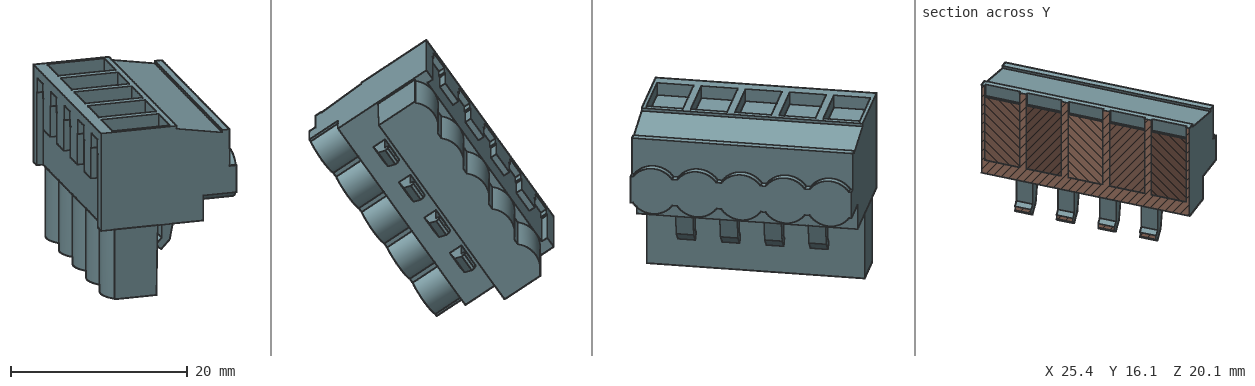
import cadquery as cq


POLES = 5
PITCH = 5.08
LENGTH = POLES * PITCH
POLE_XS = [(i - (POLES - 1) / 2) * PITCH for i in range(POLES)]
BETWEEN_POLE_XS = [x + PITCH / 2 for x in POLE_XS[:-1]]

HEIGHT = 11.65
TOP_DEPTH = 8.97
TOP_STEP = 0.35
SLOPE_END_Y = 14.4
SLOPE_END_Z = 10.3
LIP_Z = 10.6
BACK_Y = 15.25
LOWER_BACK_Y = 12.15

ENTRY_BACK_Y = 16.1
ENTRY_Z = 4.6
ENTRY_RADIUS = 2.77
ENTRY_BAND_HEIGHT = 3.2
ENTRY_BAND_BOTTOM = ENTRY_Z - ENTRY_BAND_HEIGHT / 2
ENTRY_BAND_TOP = ENTRY_Z + ENTRY_BAND_HEIGHT / 2

RECESS_DEPTH = 0.75
FINGER_WIDTH = 2.48
FINGER_TIP_WIDTH = 2.1
PANEL_TOP_Z = 5.05
FINGER_STEP_Z = 8.75
FINGER_TIP_Z = 10.5
PANEL_LENGTH = (POLES - 1) * PITCH + FINGER_WIDTH

PLUG_LENGTH = 25.06
PLUG_HEIGHT = 8.4
PLUG_FLAT_Y = 1.7
PLUG_BACK_Y = 6.77
PLUG_BACK_DRAFT = 0.12
PLUG_ARC_WIDTH = 4.32

HOOK_WIDTH = 2.0
HOOK_PROFILE = [
    (10.1, 0),
    (8.5, 0),
    (8.5, -3.0),
    (7.9, -3.6),
    (8.1, -4.15),
    (8.45, -4.35),
    (9.45, -3.3),
]

WINDOW_WIDTH = 4.2
WINDOW_FRONT_Y = 1.5
WINDOW_BACK_Y = 8.3
CLAMP_SINK = 1.5
CLAMP_TOP_Z = HEIGHT - CLAMP_SINK
CLAMP_BOTTOM_Z = ENTRY_Z - ENTRY_RADIUS


def block(width, y_front, y_back, z_bottom, z_top, x=0):
    """Box centred on x, between two Y and two Z levels."""
    size = (width, y_back - y_front, z_top - z_bottom)
    corner = (x - width / 2, y_front, z_bottom)
    return cq.Workplane().box(*size, centered=False).translate(corner)


def side_extrusion(points, width, x=0):
    """Closed (y, z) outline extruded along X and centred on x."""
    return cq.Workplane("YZ", origin=(x, 0, 0)).polyline(points).close().extrude(width / 2, both=True)


def make_shell():
    profile = [
        (0, 0),
        (0, HEIGHT),
        (TOP_DEPTH, HEIGHT),
        (TOP_DEPTH, HEIGHT - TOP_STEP),
        (SLOPE_END_Y, SLOPE_END_Z),
        (SLOPE_END_Y, LIP_Z),
        (BACK_Y, LIP_Z),
        (BACK_Y, ENTRY_BAND_TOP),
        (ENTRY_BACK_Y, ENTRY_BAND_TOP),
        (ENTRY_BACK_Y, ENTRY_BAND_BOTTOM),
        (LOWER_BACK_Y, ENTRY_BAND_BOTTOM),
        (LOWER_BACK_Y, 0),
    ]
    return side_extrusion(profile, LENGTH)


def make_entry_boss(x):
    boss_depth = ENTRY_BACK_Y - LOWER_BACK_Y
    plane = cq.Workplane("XZ", origin=(x, ENTRY_BACK_Y, ENTRY_Z))
    boss = plane.circle(ENTRY_RADIUS).extrude(boss_depth)
    pole_space = block(PITCH, LOWER_BACK_Y, ENTRY_BACK_Y, 0, HEIGHT, x)
    return boss.intersect(pole_space)


def make_front_recess():
    recess = block(PANEL_LENGTH, 0, RECESS_DEPTH, 0, PANEL_TOP_Z)
    for x in POLE_XS:
        recess = recess.union(block(FINGER_WIDTH, 0, RECESS_DEPTH, 0, FINGER_STEP_Z, x))
        recess = recess.union(block(FINGER_TIP_WIDTH, 0, RECESS_DEPTH, 0, FINGER_TIP_Z, x))
    return recess


def make_plug():
    profile = [
        (PLUG_FLAT_Y, 0),
        (PLUG_BACK_Y, 0),
        (PLUG_BACK_Y - PLUG_BACK_DRAFT, -PLUG_HEIGHT),
        (PLUG_FLAT_Y, -PLUG_HEIGHT),
    ]
    plug = side_extrusion(profile, PLUG_LENGTH)
    for x in POLE_XS:
        arc = (
            cq.Workplane("XY", origin=(x, 0, -PLUG_HEIGHT))
            .moveTo(-PLUG_ARC_WIDTH / 2, PLUG_FLAT_Y)
            .threePointArc((0, RECESS_DEPTH), (PLUG_ARC_WIDTH / 2, PLUG_FLAT_Y))
            .close()
            .extrude(PLUG_HEIGHT)
        )
        plug = plug.union(arc)
    return plug


def make_housing():
    housing = make_shell()
    for x in POLE_XS:
        housing = housing.union(make_entry_boss(x))
    housing = housing.cut(make_front_recess()).union(make_plug())
    for x in BETWEEN_POLE_XS:
        housing = housing.union(side_extrusion(HOOK_PROFILE, HOOK_WIDTH, x))
    for x in POLE_XS:
        housing = housing.cut(block(WINDOW_WIDTH, WINDOW_FRONT_Y, WINDOW_BACK_Y, CLAMP_BOTTOM_Z, HEIGHT, x))
    return housing


def make_clamp(x):
    return block(WINDOW_WIDTH, WINDOW_FRONT_Y, WINDOW_BACK_Y, CLAMP_BOTTOM_Z, CLAMP_TOP_Z, x)


housing = make_housing()
clamps = [make_clamp(x) for x in POLE_XS]

result = cq.Compound.makeCompound([housing.solids().val(), *[clamp.val() for clamp in clamps]])